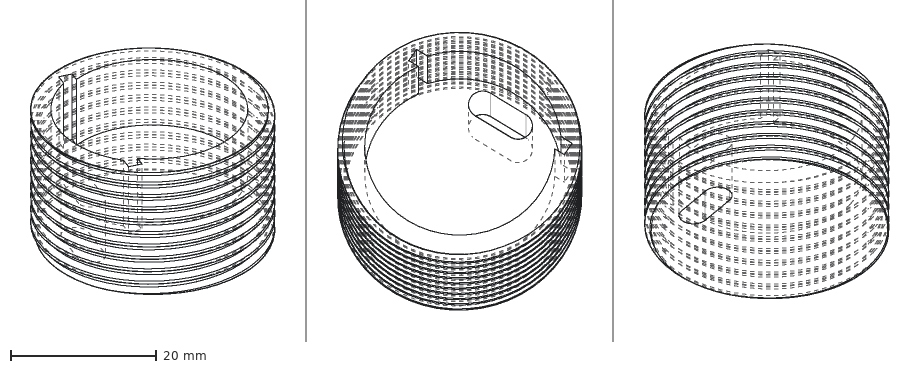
import cadquery as cq
import math

height = 19.6
crest_diameter = 33.6
root_diameter = 31.82

turns = 9.8
pitch = height / turns
flank_angle = 30.0
first_crest_z = 0.05
root_overlap = 0.17
lead_turns = 2

pocket_depth = 10.6
upper_radius = 13.07
lower_radius = 14.0

notch_span = 25.47
notch_top_y = -6.8
notch_bottom_y = -8.77

opening_length = 9.7
opening_width = 3.93
opening_y = -10.3


def thread_ridge():
    """Trapezoidal ridge swept along a helix, overrunning both ends."""
    crest_radius = crest_diameter / 2
    root_radius = root_diameter / 2
    base_radius = root_radius - root_overlap
    flank_slope = math.tan(math.radians(flank_angle))
    flank_rise = (crest_radius - root_radius) * flank_slope
    crest_half = pitch / 4 - flank_rise / 2
    base_half = crest_half + (crest_radius - base_radius) * flank_slope

    start_z = first_crest_z - lead_turns * pitch
    helix_height = height + 2 * lead_turns * pitch
    helix = cq.Wire.makeHelix(pitch, helix_height, root_radius)
    profile = cq.Workplane("XZ").polyline([
        (base_radius, -base_half),
        (crest_radius, -crest_half),
        (crest_radius, crest_half),
        (base_radius, base_half),
    ]).close()
    ridge = profile.sweep(cq.Workplane(obj=helix), isFrenet=True)
    return ridge.translate((0, 0, start_z))


def threaded_body():
    """Core cylinder with the ridge, trimmed flush at top and bottom."""
    overrun = (lead_turns + 1) * pitch
    core = cq.Workplane().workplane(offset=-overrun).circle(root_diameter / 2)
    core = core.extrude(height + 2 * overrun)
    trim = cq.Workplane().circle(crest_diameter).extrude(height)
    return core.union(thread_ridge()).intersect(trim)


def lower_pocket():
    """Segment of the larger circle below the lower edge of the slot."""
    disc = cq.Workplane().circle(lower_radius).extrude(pocket_depth)
    side = 2 * lower_radius
    keep = cq.Workplane().rect(side, side).extrude(pocket_depth)
    return disc.intersect(keep.translate((0, notch_bottom_y - lower_radius, 0)))


def pocket():
    """Pocket open at the top, with a notch at each end of the cross slot."""
    upper = cq.Workplane().circle(upper_radius).extrude(pocket_depth)
    lower = lower_pocket()
    notch_width = notch_top_y - notch_bottom_y
    slot = cq.Workplane().center(0, (notch_top_y + notch_bottom_y) / 2)
    slot = slot.rect(notch_span, notch_width).extrude(pocket_depth)
    return upper.union(lower).union(slot).translate((0, 0, height - pocket_depth))


def floor_opening():
    """Obround opening running through the whole height."""
    return cq.Workplane().center(0, opening_y).slot2D(opening_length, opening_width).extrude(height)


result = threaded_body().cut(pocket()).cut(floor_opening())